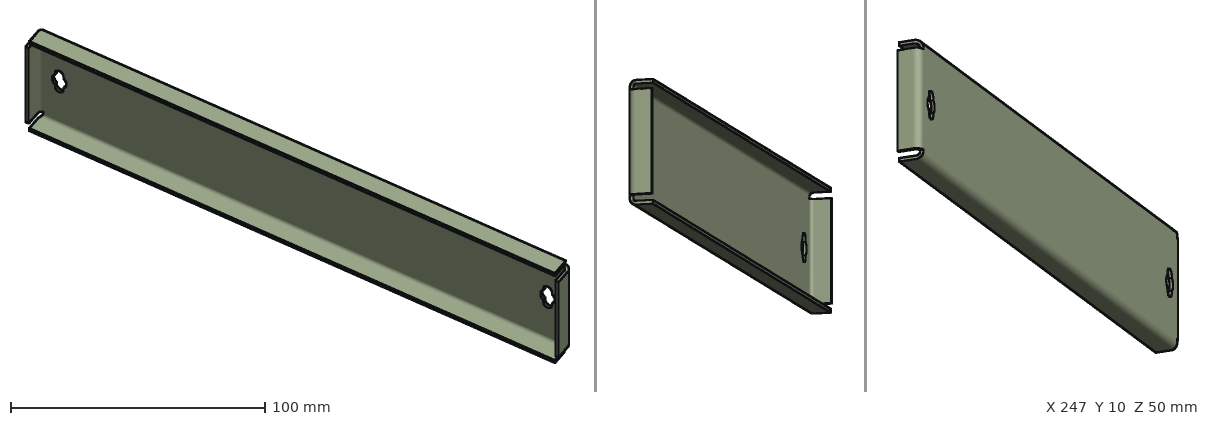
import cadquery as cq
import math

length = 247.0
height = 50.0
depth = 10.0
thickness = 1.5
inner_radius = 1.5
outer_radius = inner_radius + thickness

long_flange_inset = 1.7
end_flange_inset = 4.0

hole_offset = 113.1
hole_diameter = 6.7
slot_width = 4.0
slot_length = 11.5

plate_length = length - 2 * outer_radius
plate_height = height - 2 * outer_radius
long_flange_length = length - 2 * long_flange_inset
end_flange_length = height - 2 * end_flange_inset
back = depth / 2
front = -depth / 2
bend_start = back - outer_radius


def bend_band(reach, width):
    """Quarter-round bend on the +X side, with the fold line parallel to Z."""
    tangent = reach - outer_radius
    diagonal = math.sqrt(0.5)
    return (
        cq.Workplane("XY")
        .moveTo(tangent, back)
        .threePointArc(
            (tangent + outer_radius * diagonal, bend_start + outer_radius * diagonal),
            (reach, bend_start),
        )
        .lineTo(reach - thickness, bend_start)
        .threePointArc(
            (tangent + inner_radius * diagonal, bend_start + inner_radius * diagonal),
            (tangent, back - thickness),
        )
        .close()
        .extrude(width / 2, both=True)
    )


def twisted_bend_end(reach, start, end):
    """Bend beyond the plate edge, widening evenly around the fold until it meets the flange."""
    wedge = (
        cq.Workplane("XY", origin=(reach - outer_radius, bend_start, start))
        .rect(2 * outer_radius, 2 * outer_radius, centered=False)
        .twistExtrude(end - start, -90)
    )
    return bend_band(reach, 2 * end).intersect(wedge)


def folded_flange(reach, bend_width, flange_width):
    """Bend and straight flange on the +X side; a wider flange gets twisted bend ends."""
    bend = bend_band(reach, bend_width)
    if flange_width > bend_width:
        bend_end = twisted_bend_end(reach, bend_width / 2, flange_width / 2)
        bend = bend.union(bend_end).union(bend_end.mirror("XY"))
    straight = (
        cq.Workplane("XY")
        .box(thickness, bend_start - front, flange_width, centered=(True, False, True))
        .translate((reach - thickness / 2, front, 0))
    )
    return bend.union(straight)


def mounting_opening(x):
    """Round hole crossed by a narrower vertical slot, cut through the plate."""
    sketch_plane = cq.Workplane("XZ", origin=(x, back, 0))
    hole = sketch_plane.circle(hole_diameter / 2).extrude(depth)
    slot = sketch_plane.slot2D(slot_length, slot_width, 90).extrude(depth)
    return hole.union(slot)


result = (
    cq.Workplane("XY")
    .box(plate_length, thickness, plate_height)
    .translate((0, back - thickness / 2, 0))
)

end_flange = folded_flange(length / 2, end_flange_length, end_flange_length)
long_flange = folded_flange(height / 2, plate_length, long_flange_length)
result = result.union(end_flange).union(end_flange.mirror("YZ"))
for turn in (90, -90):
    result = result.union(long_flange.rotate((0, 0, 0), (0, 1, 0), turn))

for side in (-1, 1):
    result = result.cut(mounting_opening(side * hole_offset))